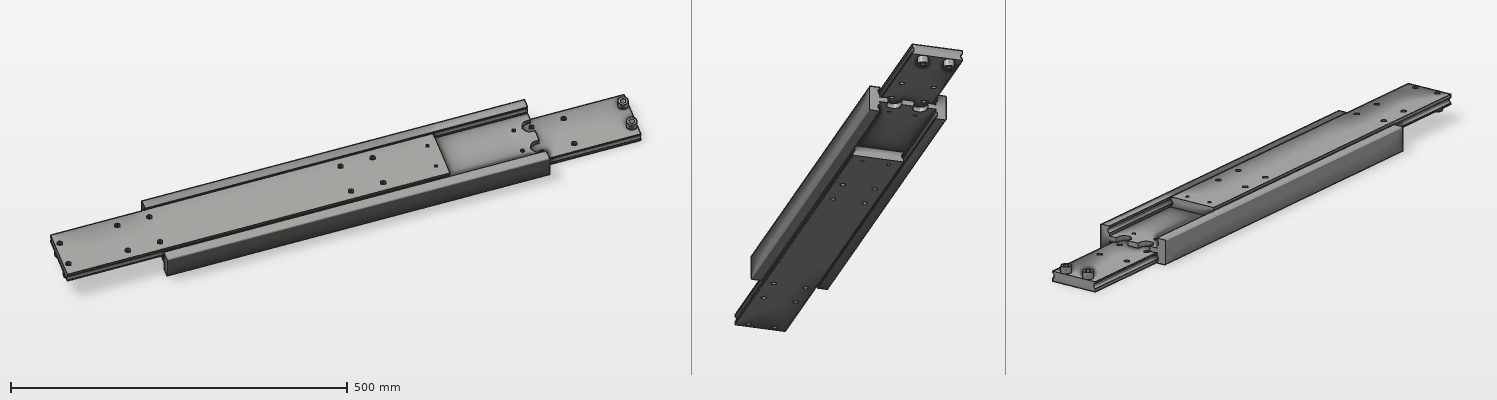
import cadquery as cq

overall_length = 900.0
overall_height = 44.0

channel_length = 600.0
channel_width = 120.0
channel_height = 40.0
wall_thickness = 16.0
web_thickness = 8.0
channel_edge_fillet = 3.0

rail_length = channel_length
rail_width = 78.0
rail_thickness = 16.0
rail_travel = (overall_length - rail_length) / 2

groove_radius = 4.95
groove_center_z = 13.0

mount_spacing = 49.5
mount_diameter = 8.0
mount_insets = [100.0, 150.0, 450.0, 500.0]

stop_spacing = 40.5
stop_diameter = 16.0
stop_height = 11.0
stop_tip_diameter = 15.0
stop_taper_height = 3.0
stop_sink_diameter = 8.0
stop_sink_depth = 4.0
stop_hole_diameter = mount_diameter
stop_hole_depth = 8.0

small_hole_diameter = 4.5
small_hole_inset = 15.0

notch_width = 22.0
notch_depth = 16.0
web_hole_diameter = 5.0
web_hole_inset = 30.0

pocket_width = channel_width - 2 * wall_thickness
groove_center_x = (pocket_width + rail_width) / 4
rail_top = overall_height / 2
rail_bottom = rail_top - rail_thickness
up = cq.Vector(0, 0, 1)
down = cq.Vector(0, 0, -1)


def box(width, length, z_low, z_high):
    """Box centred on X and Y between two heights."""
    return cq.Workplane("XY").workplane(offset=z_low).rect(width, length).extrude(z_high - z_low)


def cylinders(points, diameter, z_low, z_high):
    """Upright cylinders at the given points between two heights."""
    return (
        cq.Workplane("XY").workplane(offset=z_low)
        .pushPoints(points).circle(diameter / 2).extrude(z_high - z_low)
    )


def cone(base_diameter, end_diameter, height, base_center, direction):
    """Cone, pointed when its end diameter is zero."""
    solid = cq.Solid.makeCone(base_diameter / 2, end_diameter / 2, height, base_center, direction)
    return cq.Workplane(solid)


def pair(spacing, y):
    """Two points mirrored across the YZ plane."""
    return [(-spacing / 2, y), (spacing / 2, y)]


def ball_grooves(z, length):
    """Two round bars along Y that cut the ball grooves at one height."""
    bars = cq.Workplane("XZ").workplane(offset=-length / 2)
    bars = bars.pushPoints([(-groove_center_x, z), (groove_center_x, z)])
    return bars.circle(groove_radius).extrude(length)


def cut_web_end(channel, end):
    """Cut the two notches and the two holes at one end of the web; end is -1 or +1."""
    z_low, z_high = -web_thickness / 2, web_thickness / 2
    end_y = end * channel_length / 2
    straight_depth = notch_depth - notch_width / 2
    arc_centers = pair(stop_spacing, end_y - end * straight_depth)
    channel = channel.cut(cylinders(arc_centers, notch_width, z_low, z_high))
    for x, y in pair(stop_spacing, end_y):
        mouth = box(notch_width, 2 * straight_depth, z_low, z_high)
        channel = channel.cut(mouth.translate((x, y, 0)))
    hole_points = pair(stop_spacing, end_y - end * web_hole_inset)
    return channel.cut(cylinders(hole_points, web_hole_diameter, z_low, z_high))


def make_channel():
    """H-shaped channel: two walls joined by a notched web."""
    channel = box(channel_width, channel_length, -channel_height / 2, channel_height / 2)
    channel = channel.edges("|Y").fillet(channel_edge_fillet)
    upper_pocket = box(pocket_width, channel_length, web_thickness / 2, channel_height / 2)
    lower_pocket = box(pocket_width, channel_length, -channel_height / 2, -web_thickness / 2)
    channel = channel.cut(upper_pocket).cut(lower_pocket)
    for z in (-groove_center_z, groove_center_z):
        channel = channel.cut(ball_grooves(z, channel_length))
    for end in (-1, 1):
        channel = cut_web_end(channel, end)
    return channel


def add_stops(rail, points):
    """Add the tapered stop buttons, their countersinks and the blind holes above them."""
    tip_z = rail_bottom - stop_height
    taper_z = tip_z + stop_taper_height
    rail = rail.union(cylinders(points, stop_diameter, taper_z, rail_bottom))
    for x, y in points:
        taper_base = cq.Vector(x, y, taper_z)
        tip_center = cq.Vector(x, y, tip_z)
        rail = rail.union(cone(stop_diameter, stop_tip_diameter, stop_taper_height, taper_base, down))
        rail = rail.cut(cone(stop_sink_diameter, 0, stop_sink_depth, tip_center, up))
    return rail.cut(cylinders(points, stop_hole_diameter, rail_top - stop_hole_depth, rail_top))


def make_upper_rail():
    """Upper rail, slid out toward -Y with its stop buttons at that end."""
    rail = box(rail_width, rail_length, rail_bottom, rail_top)
    rail = rail.cut(ball_grooves(groove_center_z, rail_length))
    outer_end = -rail_length / 2
    inner_end = rail_length / 2
    rail = add_stops(rail, pair(stop_spacing, outer_end + stop_diameter / 2))
    for inset in mount_insets:
        points = pair(mount_spacing, outer_end + inset)
        rail = rail.cut(cylinders(points, mount_diameter, rail_bottom, rail_top))
    small_hole_points = pair(stop_spacing, inner_end - small_hole_inset)
    rail = rail.cut(cylinders(small_hole_points, small_hole_diameter, rail_bottom, rail_top))
    return rail.translate((0, -rail_travel, 0))


channel = make_channel()
upper_rail = make_upper_rail()
lower_rail = upper_rail.rotate((0, 0, 0), (1, 0, 0), 180)

result = cq.Compound.makeCompound([channel.val(), upper_rail.val(), lower_rail.val()])